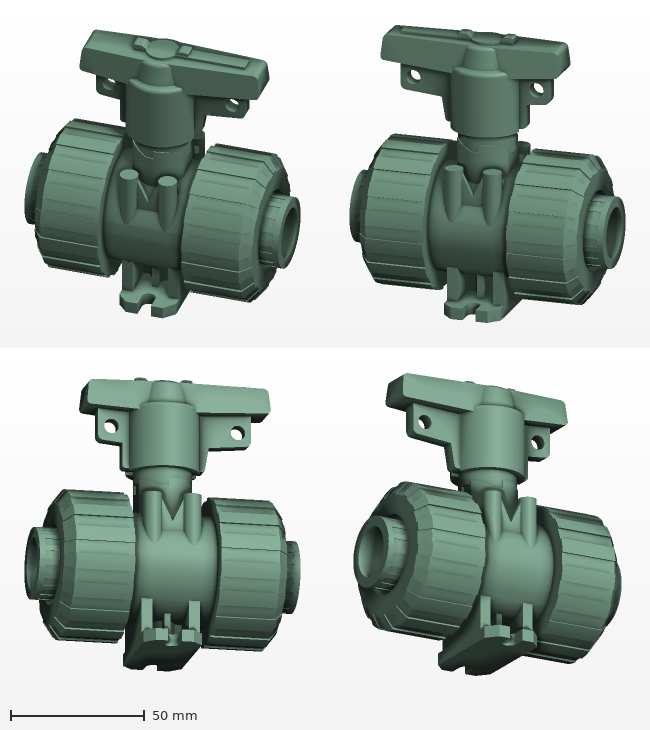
import cadquery as cq

bore_radius = 7.5
socket_radius = 9.7
socket_depth = 15.9

barrel_radius = 21.0
barrel_half_length = 36.1

nut_inner_x = 16.5
nut_outer_x = 42.6
nut_radius = 28.2
nut_bevel_length = 3.6
nut_bevel_depth = 4.8
nut_lip = 3.3
nut_hole_radius = 15.4
flute_count = 16
flute_width = 5.2
flute_depth = 0.7

end_x = 49.8
end_radius = 13.6
end_slot_count = 16
end_slot_width = 3.2
end_slot_depth = 0.4
end_rim = 2.3

neck_radius = 11.5
neck_top = 33.0
neck_flat_x = 10.1
crown_floor = 29.9
crown_floor_width = 3.1
crown_ramp_end = 9.9

peg_radius = 3.5
peg_x = 7.5
peg_y = 17.0
peg_top = 25.0
web_thickness = 1.9
notch_bottom = 14.4
notch_half_width = 5.1
gusset_thickness = 1.7
gusset_reach = 5.7
gusset_drop = 4.8
gusset_angle = 22.0

foot_bottom = -32.9
foot_top = -28.3
foot_half_x = 11.1
foot_half_y = 22.1
foot_corner_x = 3.9
foot_corner_y = 4.2
foot_slot_width = 5.3
foot_slot_depth = 8.0
leg_thickness = 4.1
leg_half_y = 14.7
foot_boss_radius = 4.5
foot_rib_thickness = 2.3
foot_rib_half_y = 9.0

stem_radius = 11.0
stem_top = 48.5
lug_bottom = 28.6
stem_clear_bottom = 32.1

hub_radius = 13.9
hub_bottom = 37.0
hub_top = 62.4
shoulder_radius = 1.6
shoulder_bottom = 60.3
cone_base_radius = 11.5
cone_top_radius = 9.7
cone_fillet = 1.6
hub_slot_width = 6.8

grip_left = -30.7
grip_right = 40.3
grip_half_left = 7.6
grip_half_middle = 9.2
grip_middle_left = -6.9
grip_middle_right = 5.3
grip_half_right = 7.0
grip_top = 70.7
grip_bottom = 58.6
grip_left_bottom = 60.9
grip_right_bottom = 61.0
grip_draft = 6.0
grip_end_fillet = 1.9
grip_lower_fillet = 1.6

plate_thickness = 5.4
plate_left = -25.2
plate_right = 33.2
plate_bottom = 38.0
plate_wing_left_bottom = 48.6
plate_wing_right_bottom = 48.9
plate_tongue_left = -15.8
plate_tongue_left_top = 47.7
plate_tongue_right = 15.5
plate_tongue_right_top = 47.5
plate_shoulder_right = 17.1
plate_wing_fillet = 2.1
plate_tongue_fillet = 1.3
plate_hole_radius = 2.8
plate_hole_z = 53.9
plate_hole_left_x = -20.1
plate_hole_right_x = 28.2

pad_top = 71.8
pad_radius = 6.3
clip_top = 73.3
clip_outer_x = 10.8
clip_inner_x = 6.8
clip_foot_x = 5.5
clip_width = 5.0
clip_bevel_length = 0.7
clip_bevel_depth = 0.3


def x_cylinder(radius, start, end):
    """Cylinder along X between two X positions."""
    return cq.Workplane("YZ", origin=(start, 0, 0)).circle(radius).extrude(end - start)


def z_cylinder(radius, bottom, top):
    """Cylinder along Z, centred on the stem axis."""
    return cq.Workplane("XY", origin=(0, 0, bottom)).circle(radius).extrude(top - bottom)


def block(x_range, y_range, z_range):
    """Box given by its limits along each axis."""
    ranges = (x_range, y_range, z_range)
    sizes = [high - low for low, high in ranges]
    corner = tuple(low for low, high in ranges)
    return cq.Workplane("XY").box(*sizes, centered=False).translate(corner)


def xz_prism(outline, thickness, y_centre=0):
    """Prism from an outline in X and Z, extruded both ways along Y."""
    plane = cq.Workplane("XZ", origin=(0, y_centre, 0))
    return plane.polyline(outline).close().extrude(thickness / 2, both=True)


def make_neck():
    """Neck with two side flats and four ramped notches in its top."""
    neck = z_cylinder(neck_radius, 0, neck_top)
    neck = neck.intersect(
        block((-neck_flat_x, neck_flat_x), (-neck_radius, neck_radius), (0, neck_top))
    )
    notch = xz_prism(
        [
            (0, crown_floor),
            (-crown_floor_width, crown_floor),
            (-crown_ramp_end, neck_top),
            (0, neck_top),
        ],
        neck_radius,
        -neck_radius / 2,
    )
    for quarter in range(4):
        neck = neck.cut(notch.rotate((0, 0, 0), (0, 0, 1), 90 * quarter))
    return neck


def make_peg_pair():
    """Two pegs on the -Y side, joined by a notched web, each with a sloping gusset."""
    centres = [(-peg_x, -peg_y), (peg_x, -peg_y)]
    pegs = cq.Workplane("XY").pushPoints(centres).circle(peg_radius).extrude(peg_top)
    web = xz_prism(
        [
            (-peg_x, 0),
            (peg_x, 0),
            (peg_x, peg_top),
            (notch_half_width, peg_top),
            (0, notch_bottom),
            (-notch_half_width, peg_top),
            (-peg_x, peg_top),
        ],
        web_thickness,
        -peg_y,
    )
    gusset = xz_prism(
        [(0, 0), (gusset_reach, 0), (gusset_reach, peg_top - gusset_drop), (0, peg_top)],
        gusset_thickness,
    )
    pair = pegs.union(web)
    for side in (-1, 1):
        direction = 90 - side * gusset_angle
        turned = gusset.rotate((0, 0, 0), (0, 0, 1), direction)
        pair = pair.union(turned.translate((side * peg_x, -peg_y, 0)))
    return pair


def make_foot():
    """Slotted foot plate carried by two legs, a round boss and cross ribs."""
    inner_x = foot_half_x - foot_corner_x
    inner_y = foot_half_y - foot_corner_y
    plate = (
        cq.Workplane("XY", origin=(0, 0, foot_bottom))
        .polyline(
            [
                (foot_half_x, inner_y),
                (inner_x, foot_half_y),
                (-inner_x, foot_half_y),
                (-foot_half_x, inner_y),
                (-foot_half_x, -inner_y),
                (-inner_x, -foot_half_y),
                (inner_x, -foot_half_y),
                (foot_half_x, -inner_y),
            ]
        )
        .close()
        .extrude(foot_top - foot_bottom)
    )
    slot_round_y = foot_half_y - foot_slot_depth + foot_slot_width / 2
    slot_length = 2 * (foot_half_y - slot_round_y) + foot_slot_width
    slots = (
        cq.Workplane("XY", origin=(0, 0, foot_bottom))
        .pushPoints([(0, -foot_half_y), (0, foot_half_y)])
        .slot2D(slot_length, foot_slot_width, 90)
        .extrude(foot_top - foot_bottom)
    )
    foot = plate.cut(slots)

    upright = (foot_top, 0)
    leg_inner_x = foot_half_x - leg_thickness
    leg = block((leg_inner_x, foot_half_x), (-leg_half_y, leg_half_y), upright)
    half_rib = foot_rib_thickness / 2
    foot = foot.union(leg).union(leg.mirror("YZ"))
    foot = foot.union(block((-half_rib, half_rib), (-foot_rib_half_y, foot_rib_half_y), upright))
    foot = foot.union(block((-leg_inner_x, leg_inner_x), (-half_rib, half_rib), upright))
    return foot.union(z_cylinder(foot_boss_radius, *upright))


def make_housing():
    """Valve housing: barrel, neck, pegs and foot around one straight bore."""
    housing = x_cylinder(barrel_radius, -barrel_half_length, barrel_half_length)
    pegs = make_peg_pair()
    for part in (make_neck(), pegs, pegs.mirror("XZ"), make_foot()):
        housing = housing.union(part)
    return housing.cut(x_cylinder(bore_radius, -barrel_half_length, barrel_half_length))


def nut_blank(radius):
    """Solid of revolution with a bevelled outer end, on the +X side."""
    return (
        cq.Workplane("XY")
        .polyline(
            [
                (nut_inner_x, 0),
                (nut_inner_x, radius),
                (nut_outer_x - nut_bevel_length, radius),
                (nut_outer_x, radius - nut_bevel_depth),
                (nut_outer_x, 0),
            ]
        )
        .close()
        .revolve(360, (0, 0, 0), (1, 0, 0))
    )


def make_nut():
    """Union nut for the +X end: a smooth core with raised grip bars between flutes."""
    bars = nut_blank(nut_radius)
    flute = block(
        (nut_inner_x, nut_outer_x),
        (-flute_width / 2, flute_width / 2),
        (bore_radius, nut_radius),
    )
    for index in range(flute_count):
        bars = bars.cut(flute.rotate((0, 0, 0), (1, 0, 0), index * 360 / flute_count))
    nut = nut_blank(nut_radius - flute_depth).union(bars)
    nut = nut.cut(x_cylinder(barrel_radius, nut_inner_x, nut_outer_x - nut_lip))
    return nut.cut(x_cylinder(nut_hole_radius, nut_inner_x, nut_outer_x))


def make_end_connector():
    """Pipe socket for the +X end, with a collar held behind the nut lip."""
    collar_end = nut_outer_x - nut_lip
    slot_end = end_x - end_rim
    connector = x_cylinder(end_radius, barrel_half_length, end_x)
    connector = connector.union(x_cylinder(barrel_radius, barrel_half_length, collar_end))
    slot = block(
        (collar_end, slot_end),
        (-end_slot_width / 2, end_slot_width / 2),
        (end_radius - end_slot_depth, end_radius),
    )
    for index in range(end_slot_count):
        connector = connector.cut(slot.rotate((0, 0, 0), (1, 0, 0), index * 360 / end_slot_count))
    connector = connector.cut(x_cylinder(bore_radius, barrel_half_length, end_x))
    return connector.cut(x_cylinder(socket_radius, end_x - socket_depth, end_x))


def make_grip():
    """Drafted lever, widest over the stem, with its underside rising to both ends."""
    grip = (
        cq.Workplane("XY", origin=(0, 0, grip_bottom))
        .polyline(
            [
                (grip_left, -grip_half_left),
                (grip_middle_left, -grip_half_middle),
                (grip_middle_right, -grip_half_middle),
                (grip_right, -grip_half_right),
                (grip_right, grip_half_right),
                (grip_middle_right, grip_half_middle),
                (grip_middle_left, grip_half_middle),
                (grip_left, grip_half_left),
            ]
        )
        .close()
        .extrude(grip_top - grip_bottom, taper=grip_draft)
    )
    side = xz_prism(
        [
            (0, grip_bottom),
            (grip_right, grip_right_bottom),
            (grip_right, grip_top),
            (grip_left, grip_top),
            (grip_left, grip_left_bottom),
        ],
        2 * hub_radius,
    )
    grip = grip.intersect(side)
    grip = grip.faces(">Z").edges("|Y").fillet(grip_end_fillet)
    for end in ("<X", ">X"):
        grip = grip.edges(end).fillet(grip_lower_fillet)
    return grip


def make_hub():
    """Round hub with a rounded shoulder, narrowing to a cone beside the grip."""
    shoulder_top = (hub_radius - shoulder_radius, shoulder_bottom + shoulder_radius)
    hub = (
        cq.Workplane("XZ")
        .moveTo(0, hub_bottom)
        .lineTo(hub_radius, hub_bottom)
        .lineTo(hub_radius, shoulder_bottom)
        .radiusArc(shoulder_top, -shoulder_radius)
        .lineTo(cone_base_radius, hub_top)
        .lineTo(cone_top_radius, grip_top)
        .lineTo(0, grip_top)
        .close()
        .revolve(360, (0, 0, 0), (0, 1, 0))
    )
    return hub.faces(">Z").edges().fillet(cone_fillet)


def make_stem():
    """Stem seated on the neck crown, with a stop lug hanging beside each neck flat."""
    stem = z_cylinder(stem_radius, lug_bottom, stem_top)
    clearance = block(
        (-stem_radius, -neck_flat_x), (-stem_radius, 0), (lug_bottom, stem_clear_bottom)
    )
    for turn in (0, 180):
        stem = stem.cut(clearance.rotate((0, 0, 0), (0, 0, 1), turn))
    return stem.cut(make_neck())


def make_plate():
    """Key plate hanging in the hub slot, with a hole in each wing."""
    outline = [
        (plate_left, grip_left_bottom),
        (plate_left, plate_wing_left_bottom),
        (plate_tongue_left, plate_tongue_left_top),
        (plate_tongue_left, plate_bottom),
        (plate_tongue_right, plate_bottom),
        (plate_shoulder_right, plate_tongue_right_top),
        (plate_right, plate_wing_right_bottom),
        (plate_right, grip_right_bottom),
    ]
    plate = xz_prism(outline, plate_thickness)
    for point, radius in (
        (outline[1], plate_wing_fillet),
        (outline[3], plate_tongue_fillet),
        (outline[4], plate_tongue_fillet),
        (outline[6], plate_wing_fillet),
    ):
        corner = cq.selectors.NearestToPointSelector((point[0], 0, point[1]))
        plate = plate.edges("|Y").edges(corner).fillet(radius)
    holes = (
        cq.Workplane("XZ")
        .pushPoints([(plate_hole_left_x, plate_hole_z), (plate_hole_right_x, plate_hole_z)])
        .circle(plate_hole_radius)
        .extrude(plate_thickness, both=True)
    )
    return plate.cut(holes)


def make_top_details():
    """Round pad, long strip and two hooked clips on the top of the grip."""
    half = plate_thickness / 2
    pad = z_cylinder(pad_radius, grip_top, pad_top)
    strip = block((0, plate_right), (-half, half), (grip_top, pad_top))
    clip = xz_prism(
        [
            (clip_foot_x, grip_top),
            (clip_outer_x, grip_top),
            (clip_outer_x, clip_top - clip_bevel_depth),
            (clip_outer_x - clip_bevel_length, clip_top),
            (clip_inner_x + clip_bevel_length, clip_top),
            (clip_inner_x, clip_top - clip_bevel_depth),
            (clip_foot_x, pad_top),
        ],
        clip_width,
    )
    return pad.union(strip).union(clip).union(clip.mirror("YZ"))


def make_handle():
    """Handle: grip and slotted hub, with the stem and key plate fixed inside."""
    handle = make_grip().union(make_hub())
    slot = block(
        (-hub_radius, hub_radius),
        (-hub_slot_width / 2, hub_slot_width / 2),
        (hub_bottom, grip_left_bottom),
    )
    handle = handle.cut(slot)
    for part in (make_stem(), make_plate(), make_top_details()):
        handle = handle.union(part)
    return handle


housing = make_housing()
handle = make_handle()
bodies = [housing.val(), handle.val()]

for turn in (0, 180):
    for fitting in (make_nut(), make_end_connector()):
        bodies.append(fitting.rotate((0, 0, 0), (0, 0, 1), turn).val())

result = cq.Compound.makeCompound(bodies)